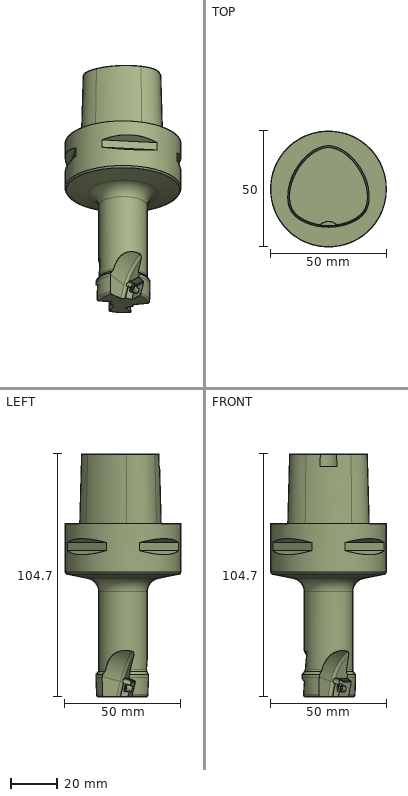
import math

import cadquery as cq

shank_height = 30.0
shank_radius = 17.6
shank_taper = 0.027
lobe_height = 1.1
lobe_spacing = 120.0
face_angles = (-90, 30, 150)
face_half_angle = 24.5
points_per_face = 7
notch_radius = 5.0
notch_depth = 5.4
notch_centre_y = -19.0

flange_radius = 25.0
flange_bottom = -20.9
flange_edge_inset = 0.5
flange_edge_height = 0.85
cone_slope = 0.2
neck_radius = 10.5
neck_blend_radius = 5.8

head_bottom = -74.72
head_cone_top = -62.9
head_cone_middle = -63.85
head_shoulder = -65.1
head_step = -66.45
head_cone_start_radius = 10.75
head_shoulder_radius = 11.75
head_radius = 11.5
head_corner_radius = 1.0

groove_angles = (45, 135, 225, 315)
groove_floor_distance = 22.0
groove_floor_width = 3.4
groove_wall_angle = 30.5
groove_centre_z = -9.9

flute_angles = (75, 195, 315)
rake_angle = 14.5
rake_opening = 2.6
flute_floor_radius = 3.4
flute_floor_angle = 9.0
flute_runout_start = 6.5
flute_runout_radius = 17.0
flute_runout_angle = 75.0
floor_corner_limit = 11.0
flute_corner_radius = 1.1
flute_reach = 20.0

seat_opening = -0.8
seat_inner_radius = 5.2
seat_height = 6.4
seat_ceiling_rise = 0.4
seat_bevel_width = 0.3
seat_bevel_height = 0.55
seat_reach = 4.5
relief_radius = 1.25
screw_radial_position = 7.9
screw_height = 3.4
screw_head_diameter = 3.45
screw_head_length = 2.8
screw_shank_diameter = 2.5
socket_diameter = 1.7
socket_depth = 1.2


def shank_point(normal_angle, radius):
    """Point of the three-lobed outline whose outward normal has the given angle."""
    angle = math.radians(normal_angle)
    support = radius - lobe_height * math.sin(3 * angle)
    support_slope = -3 * lobe_height * math.cos(3 * angle)
    x = support * math.cos(angle) - support_slope * math.sin(angle)
    y = support * math.sin(angle) + support_slope * math.cos(angle)
    return x, y


def shank_outline(radius, z):
    edges = []
    for face_angle in face_angles:
        bounds = [
            (face_angle - face_half_angle, face_angle + face_half_angle),
            (face_angle + face_half_angle, face_angle + lobe_spacing - face_half_angle),
        ]
        for start, end in bounds:
            step = (end - start) / (points_per_face - 1)
            points = [shank_point(start + i * step, radius) for i in range(points_per_face)]
            edges.append(cq.Edge.makeSpline([cq.Vector(x, y, z) for x, y in points]))
    return cq.Wire.assembleEdges(edges)


def shank():
    top_radius = shank_radius - shank_taper * shank_height
    base = shank_outline(shank_radius, 0)
    top = shank_outline(top_radius, shank_height)
    body = cq.Workplane(cq.Solid.makeLoft([base, top], True))
    notch = (
        cq.Workplane("XY", origin=(0, notch_centre_y, shank_height - notch_depth))
        .circle(notch_radius)
        .extrude(notch_depth)
    )
    return body.cut(notch)


def turned_body():
    cone_start_radius = flange_radius - flange_edge_inset
    cone_start_z = flange_bottom - flange_edge_height
    cone_end_z = cone_start_z - cone_slope * (cone_start_radius - neck_radius)
    cone_angle = math.atan(cone_slope)
    blend_length = neck_blend_radius * math.tan((math.pi / 2 - cone_angle) / 2)
    blend_start = (
        neck_radius + blend_length * math.cos(cone_angle),
        cone_end_z + blend_length * math.sin(cone_angle),
    )
    profile = (
        cq.Workplane("XZ")
        .lineTo(flange_radius, 0)
        .lineTo(flange_radius, flange_bottom)
        .lineTo(cone_start_radius, cone_start_z)
        .lineTo(*blend_start)
        .tangentArcPoint((neck_radius, cone_end_z - blend_length), relative=False)
        .lineTo(neck_radius, head_cone_top)
        .lineTo(head_cone_start_radius, head_cone_middle)
        .lineTo(head_shoulder_radius, head_shoulder)
        .lineTo(head_shoulder_radius, head_step)
        .lineTo(head_radius, head_bottom + head_corner_radius)
        .tangentArcPoint((head_radius - head_corner_radius, head_bottom), relative=False)
        .lineTo(0, head_bottom)
        .close()
    )
    return profile.revolve(360, (0, 0, 0), (0, 1, 0))


def gripper_groove():
    """Straight groove across the +X side of the flange."""
    depth = flange_radius - groove_floor_distance
    floor_half = groove_floor_width / 2
    mouth_half = floor_half + depth * math.tan(math.radians(groove_wall_angle))
    section = [
        (groove_floor_distance, groove_centre_z - floor_half),
        (groove_floor_distance, groove_centre_z + floor_half),
        (flange_radius, groove_centre_z + mouth_half),
        (flange_radius, groove_centre_z - mouth_half),
    ]
    return cq.Workplane("XZ").polyline(section).close().extrude(flange_radius, both=True)


def rake_plane(opening):
    """Leaning plane with local X radial, local Y up the face and its normal out of the flute."""
    lean = math.radians(rake_angle)
    return cq.Plane(
        origin=(0, -opening, head_bottom),
        xDir=(1, 0, 0),
        normal=(0, -math.cos(lean), math.sin(lean)),
    )


def flute():
    """Cutter sweep: a floor that curves out of the body at its top, closed by the rake face."""
    runout_angle = math.radians(flute_runout_angle)
    centre_x = flute_floor_radius + flute_runout_radius

    def runout_point(angle):
        x = centre_x - flute_runout_radius * math.cos(angle)
        y = flute_runout_start + flute_runout_radius * math.sin(angle)
        return x, y

    sweep_plane = rake_plane(rake_opening).rotated((0, flute_floor_angle, 0))
    sweep = (
        cq.Workplane(sweep_plane)
        .moveTo(flute_floor_radius, -flute_reach)
        .lineTo(flute_floor_radius, flute_runout_start)
        .threePointArc(runout_point(runout_angle / 2), runout_point(runout_angle))
        .lineTo(flute_reach, -flute_reach)
        .close()
        .extrude(flute_reach, both=True)
    )
    trim_size = 4 * flute_reach
    front_of_rake = (
        cq.Workplane(rake_plane(rake_opening))
        .rect(trim_size, trim_size)
        .extrude(flute_reach)
    )
    cutter = sweep.intersect(front_of_rake)
    rake_direction = rake_plane(rake_opening).zDir
    rake_face = cutter.faces(cq.selectors.DirectionMinMaxSelector(rake_direction, False))
    floor_corner = cq.selectors.BoxSelector(
        (0, -flute_reach, head_bottom - flute_reach),
        (floor_corner_limit, flute_reach, 0),
        boundingbox=False,
    )
    return rake_face.edges(floor_corner).fillet(flute_corner_radius)


def insert_seat():
    """Seat for the insert, sunk behind the rake face, with a round relief in its inner corner."""
    lean = math.tan(math.radians(rake_angle))
    mouth_y = -(seat_opening + seat_reach)
    face_top_y = -seat_opening + lean * seat_height
    face_top_z = head_bottom + seat_height
    bevel_y = face_top_y - seat_bevel_width
    bevel_z = face_top_z + seat_bevel_height
    section = [
        (-seat_opening, head_bottom),
        (face_top_y, face_top_z),
        (bevel_y, bevel_z),
        (mouth_y, bevel_z + seat_ceiling_rise * (bevel_y - mouth_y)),
        (mouth_y, head_bottom),
    ]
    pocket = (
        cq.Workplane("YZ", origin=(seat_inner_radius, 0, 0))
        .polyline(section)
        .close()
        .extrude(flange_radius - seat_inner_radius)
    )
    relief = (
        cq.Workplane(rake_plane(seat_opening))
        .center(seat_inner_radius, seat_height)
        .circle(relief_radius)
        .extrude(seat_reach)
    )
    return pocket.union(relief)


def insert_screw():
    """Countersunk head of the insert screw, narrow at the seat, with a round socket."""
    plane = rake_plane(seat_opening)
    centre = plane.toWorldCoords((screw_radial_position, screw_height))
    socket_centre = plane.toWorldCoords(
        (screw_radial_position, screw_height, screw_head_length - socket_depth)
    )
    head = cq.Solid.makeCone(
        screw_shank_diameter / 2, screw_head_diameter / 2, screw_head_length, centre, plane.zDir
    )
    socket = cq.Solid.makeCylinder(socket_diameter / 2, socket_depth, socket_centre, plane.zDir)
    return cq.Workplane(head.cut(socket))


def place(feature, angle):
    """Turn a feature about the part axis."""
    return feature.rotate((0, 0, 0), (0, 0, 1), angle)


body = turned_body().union(shank())
for angle in groove_angles:
    body = body.cut(place(gripper_groove(), angle))

flute_cutter = flute()
for angle in flute_angles:
    body = body.cut(place(flute_cutter, angle))
    body = body.cut(place(insert_seat(), angle))
    body = body.union(place(insert_screw(), angle))

result = body